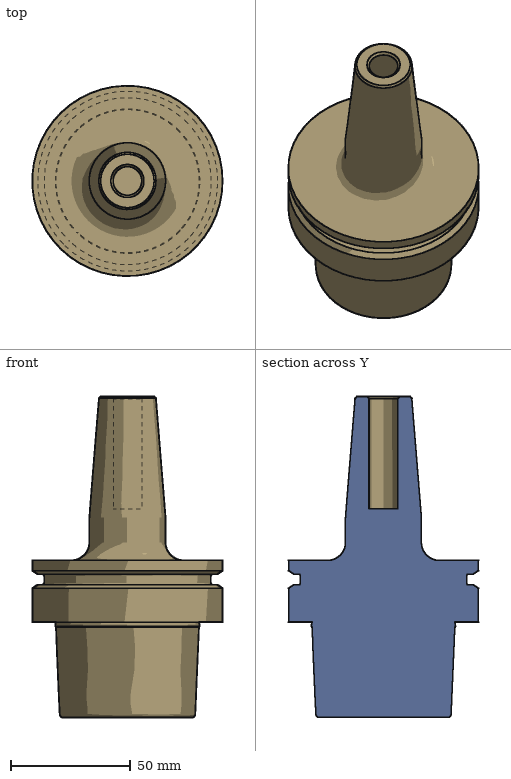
import cadquery as cq

total_height = 134.9
flange_bottom = 40.0
flange_top = 66.1
nose_cone_start = 84.0

shank_bottom_radius = 28.5
shank_top_radius = 30.1
shank_bottom_round = 1.5
collar_radius = 30.4
collar_height = 0.7
collar_bevel_height = 0.5
collar_relief_height = 1.0
collar_relief_radius = 30.1

flange_radius = 40.0
groove_floor_radius = 35.1
groove_bevel_radius = 37.8
groove_lower_lip = 54.4
groove_upper_lip = 61.6
groove_bevel_height = 1.5
groove_corner_round = 0.7

neck_radius = 16.0
neck_fillet = 7.4
nose_radius = 12.0
nose_chamfer = 0.8

bore_radius = 6.0
bore_depth = 47.2
bore_chamfer = 1.0


def make_shank():
    """Cone with a rounded bottom edge, topped by a short collar bevelled on both sides."""
    collar_top = flange_bottom - collar_relief_height
    collar_bottom = collar_top - collar_height
    cone_top = collar_bottom - collar_bevel_height
    cone = (
        cq.Workplane("XZ")
        .polyline([(0, 0), (shank_bottom_radius, 0), (shank_top_radius, cone_top), (0, cone_top)])
        .close()
        .revolve(360, (0, 0), (0, 1))
        .faces("<Z")
        .edges()
        .fillet(shank_bottom_round)
    )
    collar = (
        cq.Workplane("XZ")
        .moveTo(0, cone_top)
        .lineTo(shank_top_radius, cone_top)
        .lineTo(collar_radius, collar_bottom)
        .lineTo(collar_radius, collar_top)
        .lineTo(collar_relief_radius, flange_bottom)
        .lineTo(0, flange_bottom)
        .close()
        .revolve(360, (0, 0), (0, 1))
    )
    return cone.union(collar)


def make_flange():
    """Disc with a bevelled, flat-walled groove around its rim."""
    disc = (
        cq.Workplane("XY")
        .workplane(offset=flange_bottom)
        .circle(flange_radius)
        .extrude(flange_top - flange_bottom)
    )
    lower_wall = groove_lower_lip + groove_bevel_height
    upper_wall = groove_upper_lip - groove_bevel_height
    corner_radius = groove_floor_radius + groove_corner_round
    groove = (
        cq.Workplane("XZ")
        .moveTo(flange_radius, groove_lower_lip)
        .lineTo(groove_bevel_radius, lower_wall)
        .lineTo(corner_radius, lower_wall)
        .radiusArc((groove_floor_radius, lower_wall + groove_corner_round), groove_corner_round)
        .lineTo(groove_floor_radius, upper_wall - groove_corner_round)
        .radiusArc((corner_radius, upper_wall), groove_corner_round)
        .lineTo(groove_bevel_radius, upper_wall)
        .lineTo(flange_radius, groove_upper_lip)
        .close()
        .revolve(360, (0, 0), (0, 1))
    )
    return disc.cut(groove)


def make_neck_and_nose():
    """Neck flared onto the flange, then a slender cone with a chamfered tip."""
    return (
        cq.Workplane("XZ")
        .moveTo(0, flange_top)
        .lineTo(neck_radius + neck_fillet, flange_top)
        .radiusArc((neck_radius, flange_top + neck_fillet), neck_fillet)
        .lineTo(neck_radius, nose_cone_start)
        .lineTo(nose_radius, total_height - nose_chamfer)
        .lineTo(nose_radius - nose_chamfer, total_height)
        .lineTo(0, total_height)
        .close()
        .revolve(360, (0, 0), (0, 1))
    )


def make_bore():
    """Blind bore with a chamfered mouth."""
    bore_floor = total_height - bore_depth
    return (
        cq.Workplane("XZ")
        .moveTo(0, bore_floor)
        .lineTo(bore_radius, bore_floor)
        .lineTo(bore_radius, total_height - bore_chamfer)
        .lineTo(bore_radius + bore_chamfer, total_height)
        .lineTo(0, total_height)
        .close()
        .revolve(360, (0, 0), (0, 1))
    )


result = make_shank().union(make_flange()).union(make_neck_and_nose()).cut(make_bore())